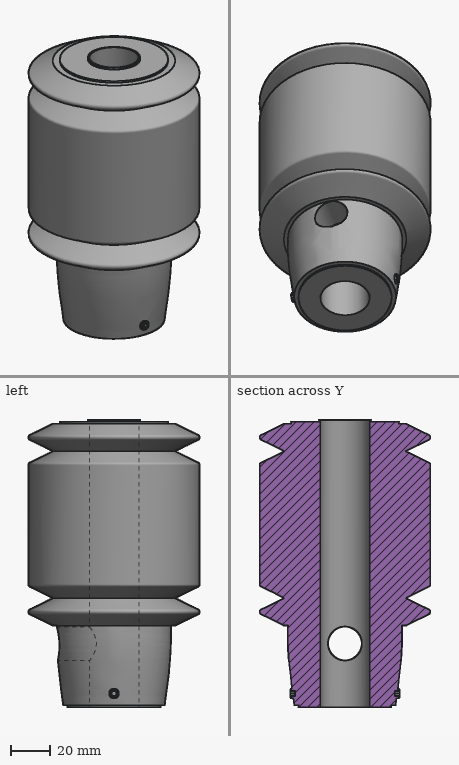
import cadquery as cq
import math

HEIGHT = 146.0
BODY_RADIUS = 43.5
BORE_DIAMETER = 25.0

STEP = 0.95
RIM_RADIUS = 13.3
TOP_DISC_RADIUS = 55.0 / 2

ROOT_RADIUS = 31.1
FLANGE_HEIGHT = 14.0
EDGE_ROUND = 1.5
LOWER_FLANGE_BOTTOM = 41.5

SPIGOT_RADIUS = 29.0
SHOULDER_CURVE_RADIUS = 28.9
SHOULDER_CURVE_Z = 28.5
TAPER_MID_RADIUS = 27.7
TAPER_MID_Z = 15.3
SPIGOT_END_RADIUS = 25.8
FOOT_RADIUS = 23.6

PIN_DIAMETER = 5.0
PIN_CHAMFER = 0.51
SOCKET_ACROSS_FLATS = 2.5
SOCKET_DEPTH = 2.5
PIN_TIP_RADIUS = 27.9
PIN_Z = 7.0

SIDE_HOLE_DIAMETER = 17.1
SIDE_HOLE_Z = 32.4

SHOULDER_Z = HEIGHT - 2 * STEP
UPPER_GROOVE_Z = SHOULDER_Z - FLANGE_HEIGHT
LOWER_GROOVE_Z = LOWER_FLANGE_BOTTOM + FLANGE_HEIGHT

ROUND_CENTER_RADIUS = BODY_RADIUS - EDGE_ROUND
CONE_RUN = ROUND_CENTER_RADIUS - ROOT_RADIUS
HALF_FLANGE = FLANGE_HEIGHT / 2
CONE_ANGLE = (math.atan2(HALF_FLANGE, CONE_RUN)
              - math.asin(EDGE_ROUND / math.hypot(CONE_RUN, HALF_FLANGE)))
TANGENT_RADIUS = ROUND_CENTER_RADIUS + EDGE_ROUND * math.sin(CONE_ANGLE)
TANGENT_RISE = EDGE_ROUND * math.cos(CONE_ANGLE)


def add_round_section(outline, bottom, top):
    """Add a cone, a rounded edge, a straight wall if any, and a cone back to the root."""
    low_center = bottom + HALF_FLANGE
    high_center = top - HALF_FLANGE
    half_turn = (math.pi / 2 - CONE_ANGLE) / 2
    arc_mid_radius = ROUND_CENTER_RADIUS + EDGE_ROUND * math.cos(half_turn)
    arc_mid_rise = EDGE_ROUND * math.sin(half_turn)

    outline = outline.lineTo(TANGENT_RADIUS, low_center - TANGENT_RISE)
    upper_tangent = (TANGENT_RADIUS, high_center + TANGENT_RISE)
    if math.isclose(low_center, high_center):
        outline = outline.threePointArc((BODY_RADIUS, low_center), upper_tangent)
    else:
        outline = outline.threePointArc((arc_mid_radius, low_center - arc_mid_rise), (BODY_RADIUS, low_center))
        outline = outline.lineTo(BODY_RADIUS, high_center)
        outline = outline.threePointArc((arc_mid_radius, high_center + arc_mid_rise), upper_tangent)
    return outline.lineTo(ROOT_RADIUS, top)


def make_body():
    """Revolve the outer shape, including the spigot, flanges and top steps."""
    outline = (
        cq.Workplane("XZ")
        .lineTo(FOOT_RADIUS, 0)
        .lineTo(FOOT_RADIUS, STEP)
        .lineTo(SPIGOT_END_RADIUS, STEP)
        .spline(
            [
                (TAPER_MID_RADIUS, TAPER_MID_Z),
                (SHOULDER_CURVE_RADIUS, SHOULDER_CURVE_Z),
                (SPIGOT_RADIUS, LOWER_FLANGE_BOTTOM),
            ],
            includeCurrent=True,
        )
        .lineTo(ROOT_RADIUS, LOWER_FLANGE_BOTTOM)
    )
    levels = [LOWER_FLANGE_BOTTOM, LOWER_GROOVE_Z, UPPER_GROOVE_Z, SHOULDER_Z]
    for bottom, top in zip(levels, levels[1:]):
        outline = add_round_section(outline, bottom, top)
    outline = (
        outline.lineTo(TOP_DISC_RADIUS, SHOULDER_Z)
        .lineTo(TOP_DISC_RADIUS, SHOULDER_Z + STEP)
        .lineTo(RIM_RADIUS, SHOULDER_Z + STEP)
        .lineTo(RIM_RADIUS, HEIGHT)
        .lineTo(0, HEIGHT)
        .close()
    )
    return outline.revolve(360, (0, 0, 0), (0, 1, 0))


def add_pins(body):
    """Add a set screw with a hexagon socket on the -X and +X sides."""
    pin_root = FOOT_RADIUS
    pin_length = PIN_TIP_RADIUS - pin_root
    socket_corners = SOCKET_ACROSS_FLATS / math.cos(math.pi / 6)
    pin = (
        cq.Workplane("YZ", origin=(pin_root, 0, PIN_Z))
        .circle(PIN_DIAMETER / 2)
        .extrude(pin_length)
        .faces(">X")
        .chamfer(PIN_CHAMFER)
    )
    socket = (
        cq.Workplane("YZ", origin=(PIN_TIP_RADIUS - SOCKET_DEPTH, 0, PIN_Z))
        .polygon(6, socket_corners)
        .extrude(SOCKET_DEPTH)
    )
    for angle in (0, 180):
        body = body.union(pin.rotate((0, 0, 0), (0, 0, 1), angle))
        body = body.cut(socket.rotate((0, 0, 0), (0, 0, 1), angle))
    return body


def cut_holes(body):
    """Cut the axial bore and the side hole that opens into it."""
    bore = cq.Workplane("XY").circle(BORE_DIAMETER / 2).extrude(HEIGHT)
    side_hole = (
        cq.Workplane("XZ", origin=(0, 0, SIDE_HOLE_Z))
        .circle(SIDE_HOLE_DIAMETER / 2)
        .extrude(-BODY_RADIUS)
    )
    return body.cut(bore).cut(side_hole)


result = cut_holes(add_pins(make_body()))